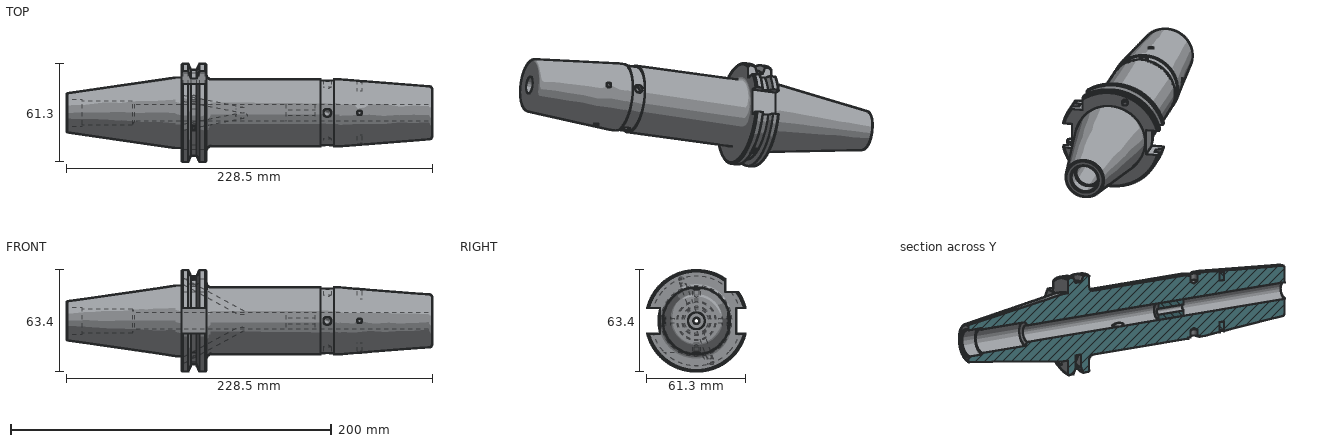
import cadquery as cq
import math

total_length = 228.5

shank_radius = 22.2
shank_end_radius = 12.3
shank_end_chamfer = 0.7
taper_length = 68.3

flange_start = 71.7
flange_end = 87.5
flange_radius = 31.7
flange_chamfer = 1.0
v_groove_center = 79.5
v_groove_floor_radius = 28.0
v_groove_floor_width = 3.7
v_groove_mouth_width = 7.0

pocket_width = 3.5
pocket_flat_z = -19.6
pocket_wall_top_y = 2.3
pocket_wall_slope = 33.0

drive_slot_width = 16.0
front_slot_floor = 22.8
rear_slot_floor = 25.0
notch_corner = 18.0

body_radius = 21.0
body_fillet = 2.7
balance_groove_start = 158.7
balance_groove_end = 167.0
balance_groove_radius = 20.3
nose_start = 170.6
nose_angle = 4.5
nose_fillet = 2.0

bore_mouth_radius = 9.1
counterbore_radius = 8.5
counterbore_depth = 9.8
thread_radius = 7.5
thread_end = 41.0
bore_radius = 5.3
drill_point_angle = 118.0

radial_count = 4

balance_hole_radius = 2.5
balance_hole_depth = 4.0

nose_plug_x = 183.0
nose_plug_radius = 1.48
nose_plug_inner = 13.7
nose_plug_outer = 19.0

duct_count = 2
duct_angle = 20.0
duct_pitch_radius = 27.0
duct_radius = 1.8
duct_tilt = 30.0
duct_plug_radius = 1.48
duct_plug_outer = 27.5

stop_screw_start = 137.0
stop_screw_length = 18.3
stop_screw_hole_radius = 1.8

balance_hole_x = (balance_groove_start + balance_groove_end) / 2
nose_end_radius = body_radius - (total_length - nose_start) * math.tan(math.radians(nose_angle))


def axial_cylinder(radius, start, end):
    return cq.Workplane("YZ", origin=(start, 0, 0)).circle(radius).extrude(end - start)


def radial_cylinder(radius, x, inner, outer, angle):
    """Cylinder along a line that leaves the X axis at `angle`, turned from +Z towards -Y."""
    upright = cq.Workplane("XY", origin=(x, 0, inner)).circle(radius).extrude(outer - inner)
    return upright.rotate((0, 0, 0), (1, 0, 0), angle)


def radial_angles(count, first=0.0):
    return [first + i * 360.0 / count for i in range(count)]


def revolve_about_x(points):
    return cq.Workplane("XY").polyline(points).close().revolve(360, (0, 0, 0), (1, 0, 0))


def turned_blank():
    outline = [
        (0, 0),
        (0, shank_end_radius - shank_end_chamfer),
        (shank_end_chamfer, shank_end_radius),
        (taper_length, shank_radius),
        (flange_start, shank_radius),
        (flange_start, flange_radius - flange_chamfer),
        (flange_start + flange_chamfer, flange_radius),
        (flange_end - flange_chamfer, flange_radius),
        (flange_end, flange_radius - flange_chamfer),
        (flange_end, body_radius),
        (balance_groove_start, body_radius),
        (balance_groove_start, balance_groove_radius),
        (balance_groove_end, balance_groove_radius),
        (balance_groove_end, body_radius),
        (nose_start, body_radius),
        (total_length, nose_end_radius),
        (total_length, 0),
    ]
    blank = revolve_about_x(outline).faces(">X").edges().fillet(nose_fillet)
    body_root = cq.selectors.BoxSelector(
        (flange_end - body_fillet, -body_radius, -body_radius),
        (flange_end + body_fillet, body_radius, body_radius),
    )
    return blank.edges(body_root).edges(cq.selectors.RadiusNthSelector(0)).fillet(body_fillet)


def v_groove():
    floor_half = v_groove_floor_width / 2
    mouth_half = v_groove_mouth_width / 2
    return revolve_about_x([
        (v_groove_center - floor_half, v_groove_floor_radius),
        (v_groove_center + floor_half, v_groove_floor_radius),
        (v_groove_center + mouth_half, flange_radius),
        (v_groove_center - mouth_half, flange_radius),
    ])


def balance_pocket():
    """Slab below the flat that runs from the -Y side up to the sloping wall."""
    depth = flange_radius + pocket_flat_z
    wall_run = depth * math.tan(math.radians(pocket_wall_slope))
    outline = [
        (-flange_radius, pocket_flat_z),
        (pocket_wall_top_y, pocket_flat_z),
        (pocket_wall_top_y + wall_run, -flange_radius),
        (-flange_radius, -flange_radius),
    ]
    slab = cq.Workplane("YZ", origin=(v_groove_center - pocket_width / 2, 0, 0))
    return slab.polyline(outline).close().extrude(pocket_width)


def flange_box(y_min, y_max, z_min, z_max):
    corner = (flange_start, y_min, z_min)
    size = (flange_end - flange_start, y_max - y_min, z_max - z_min)
    return cq.Workplane("XY").box(*size, centered=False).translate(corner)


def stepped_bore():
    mouth_chamfer = bore_mouth_radius - counterbore_radius
    cone_length = (thread_radius - bore_radius) / math.tan(math.radians(drill_point_angle / 2))
    return revolve_about_x([
        (0, 0),
        (0, bore_mouth_radius),
        (mouth_chamfer, counterbore_radius),
        (counterbore_depth, counterbore_radius),
        (counterbore_depth, thread_radius),
        (thread_end, thread_radius),
        (thread_end + cone_length, bore_radius),
        (total_length, bore_radius),
        (total_length, 0),
    ])


def balance_hole(angle):
    floor = balance_groove_radius - balance_hole_depth
    point_depth = balance_hole_radius / math.tan(math.radians(drill_point_angle / 2))
    profile = [
        (0, floor - point_depth),
        (balance_hole_radius, floor),
        (balance_hole_radius, body_radius),
        (0, body_radius),
    ]
    hole = cq.Workplane("XZ").polyline(profile).close().revolve(360, (0, 0, 0), (0, 1, 0))
    return hole.translate((balance_hole_x, 0, 0)).rotate((0, 0, 0), (1, 0, 0), angle)


def coolant_duct(angle):
    """Duct that starts just before the flange face and slopes inward to the X axis."""
    tilt = math.radians(duct_tilt)
    lead = 2 * duct_radius
    length = duct_pitch_radius / math.sin(tilt)
    start = (flange_start - lead * math.cos(tilt), 0, duct_pitch_radius + lead * math.sin(tilt))
    plane = cq.Plane(origin=start, xDir=(0, 1, 0), normal=(math.cos(tilt), 0, -math.sin(tilt)))
    duct = cq.Workplane(plane).circle(duct_radius).extrude(length + lead)
    within = axial_cylinder(flange_radius, flange_start, total_length)
    return duct.intersect(within).rotate((0, 0, 0), (1, 0, 0), angle)


def duct_cross_hole(angle, outer):
    """Cylinder from the middle of the duct out to the radius `outer`, below the V groove."""
    mid_radius = duct_pitch_radius - (v_groove_center - flange_start) * math.tan(math.radians(duct_tilt))
    return radial_cylinder(duct_plug_radius, v_groove_center, mid_radius, outer, angle)


def make_holder():
    slot_half = drive_slot_width / 2
    holder = (
        turned_blank()
        .cut(v_groove())
        .cut(balance_pocket())
        .cut(flange_box(-flange_radius, -front_slot_floor, -slot_half, slot_half))
        .cut(flange_box(rear_slot_floor, flange_radius, -slot_half, slot_half))
        .cut(flange_box(notch_corner, flange_radius, notch_corner, flange_radius))
        .cut(stepped_bore())
    )
    for angle in radial_angles(radial_count):
        holder = holder.cut(balance_hole(angle))
        nose_hole = radial_cylinder(nose_plug_radius, nose_plug_x, nose_plug_inner, body_radius, angle)
        holder = holder.cut(nose_hole)
    for angle in radial_angles(duct_count, duct_angle):
        holder = holder.cut(coolant_duct(angle)).cut(duct_cross_hole(angle, flange_radius))
    return holder


def make_nose_plug(angle):
    return radial_cylinder(nose_plug_radius, nose_plug_x, nose_plug_inner, nose_plug_outer, angle)


def make_duct_plug(angle):
    return duct_cross_hole(angle, duct_plug_outer).cut(coolant_duct(angle))


def make_stop_screw():
    screw_end = stop_screw_start + stop_screw_length
    blank = axial_cylinder(bore_radius, stop_screw_start, screw_end)
    return blank.cut(axial_cylinder(stop_screw_hole_radius, stop_screw_start, screw_end))


holder = make_holder()
nose_plugs = [make_nose_plug(angle).val() for angle in radial_angles(radial_count)]
duct_plugs = [make_duct_plug(angle).val() for angle in radial_angles(duct_count, duct_angle)]
stop_screw = make_stop_screw()

result = cq.Compound.makeCompound([holder.val(), *nose_plugs, *duct_plugs, stop_screw.val()])